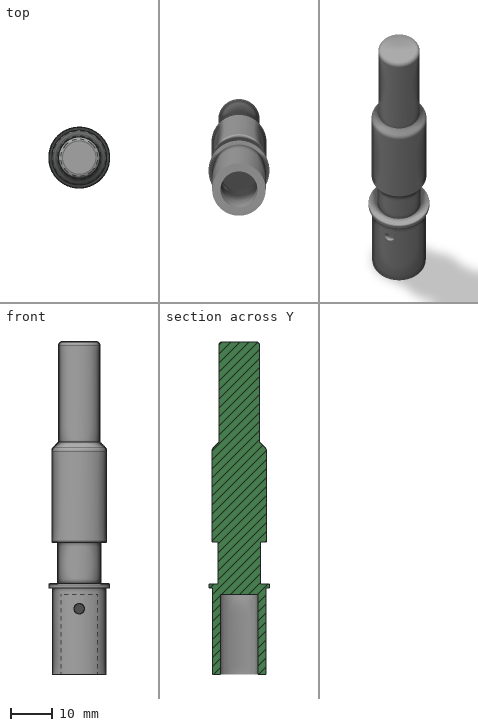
import cadquery as cq
import math

total_length = 80.9
pin_length = 24.4
body_bottom = 32.1
flange_top = 22.1
flange_thickness = 1.05

pin_diameter = 10.0
body_diameter = 13.35
neck_diameter = 10.5
flange_diameter = 14.8
barrel_diameter = 13.0

pin_tip_fillet = 1.0
shoulder_fillet = 1.4
body_bottom_fillet = 0.3
flange_fillet = 0.3

bore_diameter = 9.0
bore_depth = 19.4
hole_diameter = 2.5
hole_height = 16.0

body_top = total_length - pin_length
flange_bottom = flange_top - flange_thickness


def cylinder(diameter, bottom, top):
    """Solid cylinder on the Z axis between two heights."""
    return cq.Workplane("XY").workplane(offset=bottom).circle(diameter / 2).extrude(top - bottom)


def make_pin():
    pin = cylinder(pin_diameter, body_top, total_length)
    return pin.faces(">Z").edges().fillet(pin_tip_fillet)


def make_body():
    """Body with a 45 degree cone below the pin, blended by an arc into the cylinder."""
    pin_radius = pin_diameter / 2
    body_radius = body_diameter / 2
    diagonal = math.sqrt(0.5)
    arc_center_radius = body_radius - shoulder_fillet
    cone_radius = arc_center_radius + shoulder_fillet * diagonal
    cone_bottom = body_top - (cone_radius - pin_radius)
    arc_bottom = cone_bottom - shoulder_fillet * diagonal
    arc_mid_angle = math.radians(22.5)
    arc_mid = (
        arc_center_radius + shoulder_fillet * math.cos(arc_mid_angle),
        arc_bottom + shoulder_fillet * math.sin(arc_mid_angle),
    )
    profile = (
        cq.Workplane("XZ")
        .moveTo(0, body_bottom)
        .lineTo(body_radius, body_bottom)
        .lineTo(body_radius, arc_bottom)
        .threePointArc(arc_mid, (cone_radius, cone_bottom))
        .lineTo(pin_radius, body_top)
        .lineTo(0, body_top)
        .close()
    )
    body = profile.revolve(360, (0, 0, 0), (0, 1, 0))
    return body.faces("<Z").edges().fillet(body_bottom_fillet)


def make_neck():
    return cylinder(neck_diameter, flange_top, body_bottom)


def make_flange():
    flange = cylinder(flange_diameter, flange_bottom, flange_top)
    return flange.faces(">Z").edges().fillet(flange_fillet)


def make_barrel():
    """Hollow barrel with the inspection hole through its -Y wall."""
    barrel = cylinder(barrel_diameter, 0, flange_bottom)
    bore = cylinder(bore_diameter, 0, bore_depth)
    hole = (
        cq.Workplane("XZ")
        .center(0, hole_height)
        .circle(hole_diameter / 2)
        .extrude(barrel_diameter)
    )
    return barrel.cut(bore).cut(hole)


result = make_barrel().union(make_flange()).union(make_neck()).union(make_body()).union(make_pin())